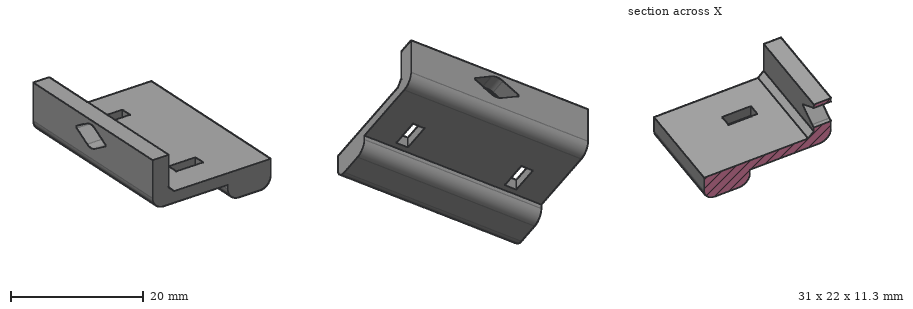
import cadquery as cq
import math

length = 31.0
depth = 22.0
height = 11.3

plate_thickness = 2.0
plate_underside = 2.8
plate_top = plate_underside + plate_thickness
wall_thickness = 3.0
foot_depth = 8.0
round_radius = 2.0
corner_chamfer = 1.0

slot_width = 2.0
slot_depth = 5.0
slot_center_y = 10.5
slot_inset = 6.0
slot_centers_x = (slot_inset, length - slot_inset)

window_center_x = 15.0
window_center_z = 8.55
window_radius = 2.0
window_tip_radius = 0.2
window_slope = math.radians(30)


def make_body():
    """Z-shaped profile: upright wall, flat plate and rounded foot."""
    profile = (
        cq.Workplane("YZ")
        .moveTo(0, height)
        .lineTo(wall_thickness, height)
        .lineTo(wall_thickness, plate_top + corner_chamfer)
        .lineTo(wall_thickness + corner_chamfer, plate_top)
        .lineTo(depth, plate_top)
        .lineTo(depth, round_radius)
        .radiusArc((depth - round_radius, 0), round_radius)
        .lineTo(depth - foot_depth + round_radius, 0)
        .radiusArc((depth - foot_depth, round_radius), round_radius)
        .lineTo(depth - foot_depth, plate_underside)
        .lineTo(round_radius, plate_underside)
        .radiusArc((0, plate_underside + round_radius), round_radius)
        .close()
    )
    return profile.extrude(length)


def make_slots():
    return (
        cq.Workplane("XY")
        .pushPoints([(x, slot_center_y) for x in slot_centers_x])
        .rect(slot_width, slot_depth)
        .extrude(height)
    )


def make_window():
    """Circle-capped diamond whose sides run tangent to the round corners."""
    tangent_x = window_radius * math.sin(window_slope)
    tangent_z = window_radius * math.cos(window_slope)
    tip_x = tangent_x + tangent_z / math.tan(window_slope)
    window = (
        cq.Workplane("XZ", origin=(window_center_x, 0, window_center_z))
        .moveTo(-tip_x, 0)
        .lineTo(-tangent_x, tangent_z)
        .threePointArc((0, window_radius), (tangent_x, tangent_z))
        .lineTo(tip_x, 0)
        .lineTo(tangent_x, -tangent_z)
        .threePointArc((0, -window_radius), (-tangent_x, -tangent_z))
        .close()
        .extrude(-wall_thickness)
    )
    return window.edges("<X or >X").fillet(window_tip_radius)


result = make_body().cut(make_slots()).cut(make_window())